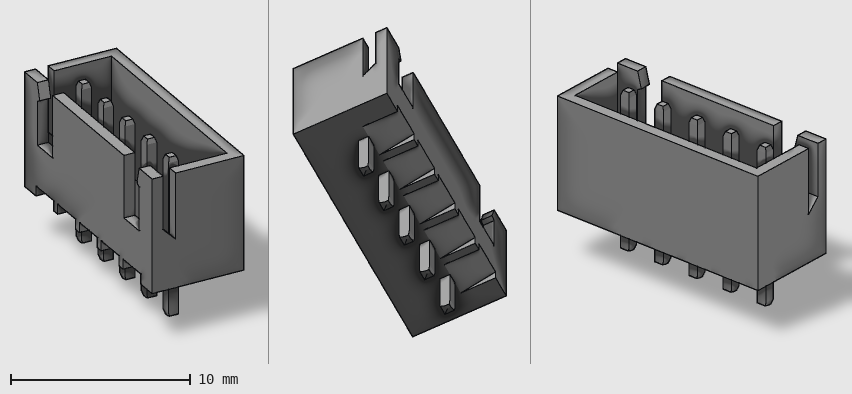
import cadquery as cq

HOUSING_WIDTH = 14.67
HOUSING_DEPTH = 5.84
HOUSING_HEIGHT = 7.2
FRONT_TO_PINS = 2.48
WALL = 0.7
FLOOR = 0.7

PIN_COUNT = 5
PIN_PITCH = 2.5
PIN_SIZE = 0.64
PIN_BOTTOM = -3.01
PIN_TOP = 7.02
PIN_TIP_INSET = 0.1
PIN_TIP_HEIGHT = 0.31

WINDOW_EDGE_OFFSET = 1.48
WINDOW_WIDTH = 1.76
WINDOW_SILL = 3.27
HOOK_REACH = 0.27
HOOK_TIP_Z = 6.17
HOOK_BASE_Z = 6.02

SLOT_WIDTH = 0.8
SLOT_BOTTOM = 3.05

RELIEF_WIDTH = 2.04
RELIEF_HEIGHT = 0.64

HALF_WIDTH = HOUSING_WIDTH / 2
RELIEF_DEPTH = FRONT_TO_PINS - PIN_SIZE / 2
FRONT_Y = -FRONT_TO_PINS
BACK_Y = FRONT_Y + HOUSING_DEPTH
INNER_FRONT_Y = FRONT_Y + WALL
PIN_XS = [(i - (PIN_COUNT - 1) / 2) * PIN_PITCH for i in range(PIN_COUNT)]


def box(x_min, x_max, y_min, y_max, z_min, z_max):
    """Box given by its limits along each axis."""
    size = (x_max - x_min, y_max - y_min, z_max - z_min)
    return cq.Workplane("XY").box(*size, centered=False).translate((x_min, y_min, z_min))


def make_shell():
    """Open-topped rectangular housing."""
    outer = box(-HALF_WIDTH, HALF_WIDTH, FRONT_Y, BACK_Y, 0, HOUSING_HEIGHT)
    inner_half_width = HALF_WIDTH - WALL
    cavity = box(-inner_half_width, inner_half_width, INNER_FRONT_Y, BACK_Y - WALL, FLOOR, HOUSING_HEIGHT)
    return outer.cut(cavity)


def make_left_window():
    """Cutter for the left latch window; its outer edge leaves a hook at the top."""
    outer_x = -HALF_WIDTH + WINDOW_EDGE_OFFSET
    inner_x = outer_x + WINDOW_WIDTH
    outline = [
        (outer_x, WINDOW_SILL),
        (inner_x, WINDOW_SILL),
        (inner_x, HOUSING_HEIGHT),
        (outer_x, HOUSING_HEIGHT),
        (outer_x + HOOK_REACH, HOOK_TIP_Z),
        (outer_x, HOOK_BASE_Z),
    ]
    return cq.Workplane("XZ", origin=(0, FRONT_Y, 0)).polyline(outline).close().extrude(-WALL)


def make_side_slots():
    """Cutter for the slots in both side walls."""
    slot_back_y = INNER_FRONT_Y + SLOT_WIDTH
    outline = [
        (slot_back_y, SLOT_BOTTOM),
        (slot_back_y, HOUSING_HEIGHT),
        (INNER_FRONT_Y, HOUSING_HEIGHT),
        (INNER_FRONT_Y, SLOT_BOTTOM + SLOT_WIDTH),
    ]
    return cq.Workplane("YZ").polyline(outline).close().extrude(HALF_WIDTH, both=True)


def make_relief(x):
    """Wedge cutter under the front edge, tapering out toward the pin."""
    outline = [
        (FRONT_Y, 0),
        (FRONT_Y, RELIEF_HEIGHT),
        (FRONT_Y + RELIEF_DEPTH, 0),
    ]
    wedge = cq.Workplane("YZ").polyline(outline).close().extrude(RELIEF_WIDTH / 2, both=True)
    return wedge.translate((x, 0, 0))


def make_pin(x):
    """Square pin with both ends tapered on all four sides."""
    pin = box(x - PIN_SIZE / 2, x + PIN_SIZE / 2, -PIN_SIZE / 2, PIN_SIZE / 2, PIN_BOTTOM, PIN_TOP)
    pin = pin.faces(">Z").chamfer(PIN_TIP_HEIGHT, PIN_TIP_INSET)
    return pin.faces("<Z").chamfer(PIN_TIP_HEIGHT, PIN_TIP_INSET)


left_window = make_left_window()
housing = make_shell().cut(left_window).cut(left_window.mirror("YZ")).cut(make_side_slots())
for pin_x in PIN_XS:
    housing = housing.cut(make_relief(pin_x))

result = housing
for pin_x in PIN_XS:
    result = result.union(make_pin(pin_x))